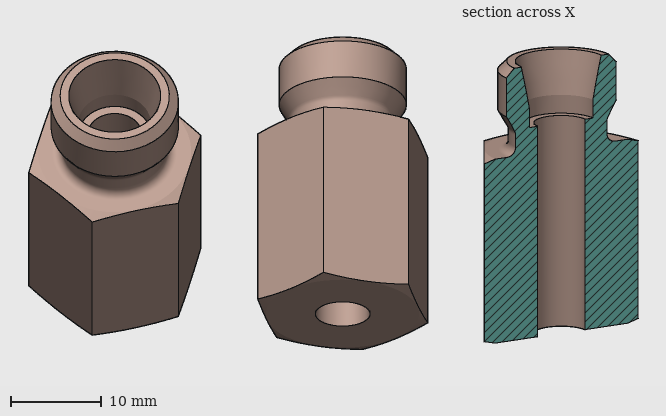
import cadquery as cq
import math

total_height = 31.0
stud_height = 10.0
hex_height = total_height - stud_height
hex_width = 17.0
hex_corner_diameter = hex_width / math.cos(math.radians(30))

hex_face_diameter = 16.85
hex_chamfer_angle = 15.0

collar_diameter = 14.0
collar_top_diameter = 12.0
collar_chamfer_height = 1.0
collar_bottom_depth = 5.4
neck_diameter = 11.7
undercut_angle = 30.0
neck_fillet = 1.0

through_diameter = 6.0
tube_diameter = 8.0
tube_depth = 7.0
seat_mouth_diameter = 10.1
seat_half_angle = 12.0


def revolve_profile(profile):
    """Close a radius-height profile and turn it about the Z axis."""
    return profile.close().revolve(360, (0, 0, 0), (0, 1, 0))


def make_hexagon():
    """Hexagonal prism with flats facing X, corners trimmed by end cones."""
    prism = (
        cq.Workplane("XY")
        .polygon(6, hex_corner_diameter)
        .extrude(hex_height)
        .rotate((0, 0, 0), (0, 0, 1), 30)
    )
    face_radius = hex_face_diameter / 2
    outer_radius = hex_corner_diameter
    cone_drop = (outer_radius - face_radius) * math.tan(math.radians(hex_chamfer_angle))
    envelope = revolve_profile(
        cq.Workplane("XZ")
        .lineTo(face_radius, 0)
        .lineTo(outer_radius, cone_drop)
        .lineTo(outer_radius, hex_height - cone_drop)
        .lineTo(face_radius, hex_height)
        .lineTo(0, hex_height)
    )
    return prism.intersect(envelope)


def make_stud():
    """Chamfered collar above a neck that blends into the cone and the hexagon."""
    neck_radius = neck_diameter / 2
    collar_radius = collar_diameter / 2
    collar_bottom = total_height - collar_bottom_depth
    slope = math.radians(undercut_angle)
    arc_center_radius = neck_radius + neck_fillet

    cone_corner = collar_bottom - (collar_radius - neck_radius) / math.tan(slope)
    arc_start = cone_corner - neck_fillet * math.tan(slope / 2)

    def upper_blend(angle):
        return (
            arc_center_radius - neck_fillet * math.cos(angle),
            arc_start + neck_fillet * math.sin(angle),
        )

    lower_blend_middle = (
        arc_center_radius - neck_fillet * math.cos(math.pi / 4),
        hex_height + neck_fillet * (1 - math.sin(math.pi / 4)),
    )
    return revolve_profile(
        cq.Workplane("XZ")
        .moveTo(0, hex_height)
        .lineTo(arc_center_radius, hex_height)
        .threePointArc(lower_blend_middle, (neck_radius, hex_height + neck_fillet))
        .lineTo(neck_radius, arc_start)
        .threePointArc(upper_blend(slope / 2), upper_blend(slope))
        .lineTo(collar_radius, collar_bottom)
        .lineTo(collar_radius, total_height - collar_chamfer_height)
        .lineTo(collar_top_diameter / 2, total_height)
        .lineTo(0, total_height)
    )


def make_bore():
    """Through hole, wider tube socket and tapered seat at the stud mouth."""
    through_radius = through_diameter / 2
    tube_radius = tube_diameter / 2
    mouth_radius = seat_mouth_diameter / 2
    seat_depth = (mouth_radius - tube_radius) / math.tan(math.radians(seat_half_angle))
    return revolve_profile(
        cq.Workplane("XZ")
        .lineTo(through_radius, 0)
        .lineTo(through_radius, total_height - tube_depth)
        .lineTo(tube_radius, total_height - tube_depth)
        .lineTo(tube_radius, total_height - seat_depth)
        .lineTo(mouth_radius, total_height)
        .lineTo(0, total_height)
    )


result = make_hexagon().union(make_stud()).cut(make_bore())